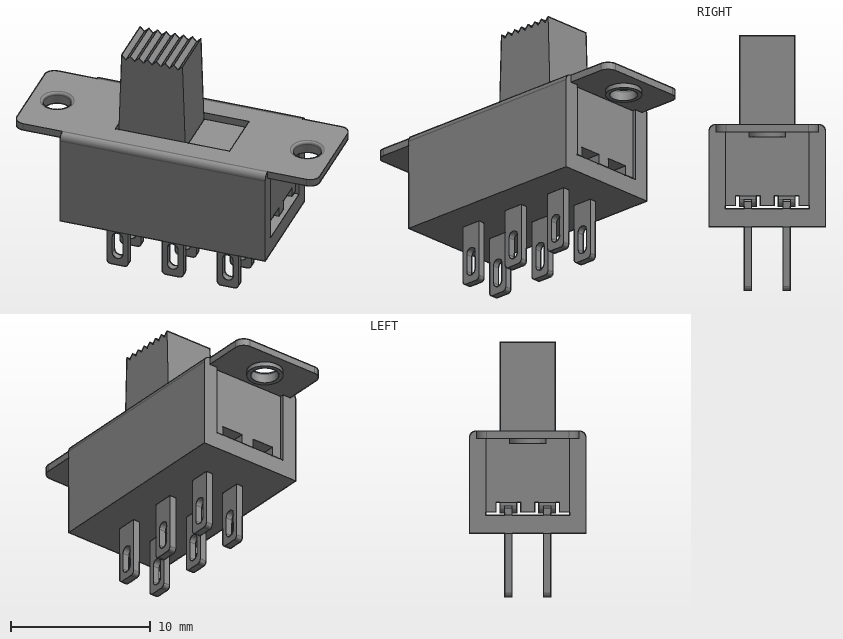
import cadquery as cq


plate_length = 23.0
plate_width = 7.34
plate_thickness = 0.55
plate_corner_radius = 0.74
mount_hole_spacing = 19.0
mount_hole_diameter = 2.0
mount_hole_rounding = 0.2
collar_diameter = 2.6
collar_height = 0.35

body_length = 15.6
body_width = 8.35
body_depth = 7.34
base_thickness = 1.3
base_top = base_thickness - body_depth
fold_radius = (body_width - plate_width) / 2

side_strip_width = 1.17
end_opening_width = body_width - 2 * side_strip_width
end_recess = 0.28
core_gap = 0.2

row_spacing = 2.75
row_positions = (-row_spacing / 2, row_spacing / 2)
channel_width = 1.75
channel_height = 0.92

terminal_pitch = 4.19
terminal_middle_x = -0.14
terminal_positions = [terminal_middle_x + i * terminal_pitch for i in (-1, 0, 1)]
terminal_width = 1.6
terminal_thickness = 0.53
terminal_drop = 4.55
terminal_rise = 0.65
terminal_corner_radius = 0.3
terminal_top_chamfer = 0.14
terminal_slot_width = 0.8
terminal_slot_length = 2.15
terminal_slot_above_tip = 1.63
terminal_tip = -body_depth - terminal_drop

contact_width = 1.22
contact_clearance = 0.14
contact_round = 0.5

slot_length = 8.67
slot_width = 4.12
lever_center_x = -1.59
lever_width = 3.93
lever_height = 6.35
lever_base_length = 5.05
lever_top_length = 4.62
tooth_count = 7
tooth_depth = 0.35


def block(length, width, bottom, top, x=0, y=0):
    """Box centred on (x, y) that spans bottom to top in Z."""
    centre_z = (bottom + top) / 2
    return cq.Workplane("XY").box(length, width, top - bottom).translate((x, y, centre_z))


def make_plate():
    plate = block(plate_length, plate_width, -plate_thickness, 0)
    return plate.edges("|Z").fillet(plate_corner_radius)


def make_body():
    body = block(body_length, body_width, -body_depth, 0)
    body = body.faces(">Z").edges("|X").fillet(fold_radius)
    for end in (-1, 1):
        recess_x = end * (body_length - end_recess) / 2
        body = body.cut(block(end_recess, end_opening_width, base_top, -plate_thickness, x=recess_x))
    body = body.cut(block(body_length, end_opening_width, base_top, base_top + core_gap))
    for y in row_positions:
        body = body.cut(block(body_length, channel_width, base_top, base_top + channel_height, y=y))
    return body


def add_mounting_holes(part):
    hole_points = [(-mount_hole_spacing / 2, 0), (mount_hole_spacing / 2, 0)]
    collar_bottom = -plate_thickness - collar_height
    collars = (
        cq.Workplane("XY", origin=(0, 0, collar_bottom))
        .pushPoints(hole_points)
        .circle(collar_diameter / 2)
        .extrude(collar_height)
    )
    part = part.union(collars)
    for x, y in hole_points:
        bore_radius = mount_hole_diameter / 2
        cutter = (
            cq.Workplane("XZ")
            .moveTo(0, collar_bottom)
            .lineTo(bore_radius, collar_bottom)
            .lineTo(bore_radius, -mount_hole_rounding)
            .radiusArc((bore_radius + mount_hole_rounding, 0), mount_hole_rounding)
            .lineTo(0, 0)
            .close()
            .revolve(360, (0, 0, 0), (0, 1, 0))
        )
        part = part.cut(cutter.translate((x, y, 0)))
    return part


def make_lever():
    tooth_pitch = lever_top_length / tooth_count
    half_base = lever_base_length / 2
    half_top = lever_top_length / 2
    outline = [(-half_base, -plate_thickness), (-half_top, lever_height)]
    for i in range(tooth_count):
        valley_x = -half_top + (i + 0.5) * tooth_pitch
        outline.append((valley_x, lever_height - tooth_depth))
        outline.append((valley_x + tooth_pitch / 2, lever_height))
    outline.append((half_base, -plate_thickness))
    lever = cq.Workplane("XZ").polyline(outline).close().extrude(lever_width / 2, both=True)
    return lever.translate((lever_center_x, 0, 0))


def make_terminal(x, y):
    top = base_top + terminal_rise
    blade = block(terminal_width, terminal_thickness, terminal_tip, top)
    blade = blade.faces("<Z").edges("|Y").fillet(terminal_corner_radius)
    blade = blade.faces(">Z").edges("|Y").chamfer(terminal_top_chamfer)
    slot = (
        cq.Workplane("XZ", origin=(0, 0, terminal_tip + terminal_slot_above_tip))
        .slot2D(terminal_slot_length, terminal_slot_width, 90)
        .extrude(terminal_thickness, both=True)
    )
    return blade.cut(slot).translate((x, y, 0))


def make_contact(y):
    first_x, second_x = terminal_positions[:2]
    contact = block(
        second_x - first_x,
        contact_width,
        base_top + contact_clearance,
        base_top + channel_height,
        x=(first_x + second_x) / 2,
        y=y,
    )
    return contact.faces("<Z").edges("|Y").fillet(contact_round)


result = make_plate().union(make_body())
result = add_mounting_holes(result)
result = result.cut(block(slot_length, slot_width, -plate_thickness, 0))
result = result.union(make_lever())
for row_y in row_positions:
    result = result.union(make_contact(row_y))
    for terminal_x in terminal_positions:
        result = result.union(make_terminal(terminal_x, row_y))